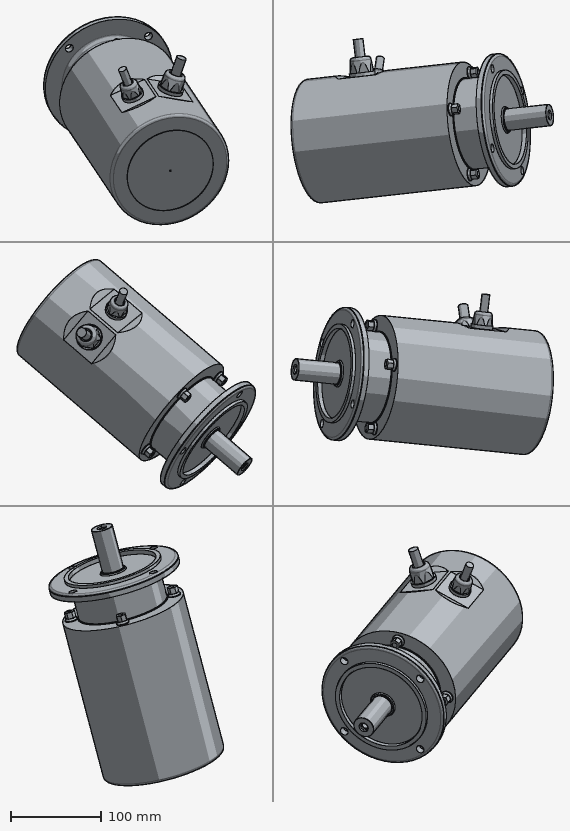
import cadquery as cq
import math


SHAFT_D = 24.0
SHAFT_LENGTH = 50.35
SHAFT_CHAMFER = 0.25
CENTRE_HOLE_D = 6.99
CENTRE_HOLE_DEPTH = 16.0
DRILL_HALF_ANGLE = 60.0
CENTRE_SINK_D = 11.0
CENTRE_SINK_DEPTH = 1.3
CENTRE_BORE_D = 8.4
CENTRE_BORE_DEPTH = 4.0

FLANGE_D = 148.0
FLANGE_FACE_D = 142.0
FLANGE_ROUND = (FLANGE_D - FLANGE_FACE_D) / 2
FLANGE_ROUND_LENGTH = 2.0
FLANGE_STEP = 2.8
FLANGE_THICKNESS = 8.65
PILOT_D = 110.0
PILOT_HEIGHT = 3.5
RECESS_D = 100.0
RECESS_DEPTH = 5.0
SEAL_BASE_D = 30.0
SEAL_TOP_D = 28.0
SEAL_HEIGHT = 1.5
SEAL_LIP_D = 24.8
SEAL_LIP_HEIGHT = 0.8
FLANGE_HOLE_COUNT = 4
FLANGE_HOLE_D = 9.0
FLANGE_HOLE_CIRCLE_D = 130.0
NECK_D = 101.0
NECK_FILLET = 4.0
COLLAR_D = 103.0
COLLAR_HEIGHT = 1.0

HOUSING_D = 138.0
HOUSING_FRONT = 45.15
HOUSING_ROUND = 3.0
REAR_PLATE_D = 100.0
REAR_PLATE_THICKNESS = 0.8
REAR_TIP_D = 1.5
REAR_TIP_HEIGHT = 0.7
MOTOR_REAR = 232.65
HOUSING_REAR = MOTOR_REAR - REAR_TIP_HEIGHT - REAR_PLATE_THICKNESS

SCREW_COUNT = 4
SCREW_CIRCLE_D = 117.5
SCREW_ACROSS_FLATS = 10.0
SCREW_WASHER_D = 14.2
SCREW_WASHER_HEIGHT = 0.8
SCREW_CONE_D = 11.2
SCREW_CONE_HEIGHT = 2.4
SCREW_TOP_D = 6.0
SCREW_TOP_CHAMFER = 0.9
SCREW_HEIGHT = 10.8

GLAND_X = 163.65
GLAND_TILT = 19.0
LARGE_GLAND_TILT = -GLAND_TILT
SMALL_GLAND_TILT = GLAND_TILT
PAD_RADIUS = 65.75
PAD_LENGTH = 42.0
PAD_OUTER_LENGTH = 59.2
GLAND_BASE_HEIGHT = 4.0
GLAND_BASE_LIP = 0.35
GLAND_TAPER = 6.5
GLAND_FLAT_INSET = 0.3
GLAND_MOUTH_DEPTH = 3.0

LARGE_GLAND = dict(cable_d=11.0, mouth_d=14.2, rim_d=16.0, dome_d=23.5, height=21.3, cable_end=41.13)
SMALL_GLAND = dict(cable_d=9.0, mouth_d=11.5, rim_d=13.0, dome_d=20.0, height=18.6, cable_end=38.0)


def x_plane(x):
    """Plane across the motor axis at x, facing +X."""
    return cq.Workplane("YZ", origin=(x, 0, 0))


def disc(x_start, x_end, diameter):
    return x_plane(x_start).circle(diameter / 2).extrude(x_end - x_start)


def turned(points):
    """Solid of revolution about the local X axis from (x, radius) corners."""
    return cq.Workplane("XY").polyline(points).close().revolve(360, (0, 0, 0), (1, 0, 0))


def hexagon_diameter(across_flats):
    """Corner-to-corner diameter of a hexagon."""
    return 2 * across_flats / math.sqrt(3)


def make_shaft():
    shaft = disc(-SHAFT_LENGTH, FLANGE_THICKNESS, SHAFT_D).faces("<X").chamfer(SHAFT_CHAMFER)
    hole_r = CENTRE_HOLE_D / 2
    cone_depth = hole_r / math.tan(math.radians(DRILL_HALF_ANGLE))
    centre_hole = turned([
        (0, 0),
        (0, CENTRE_SINK_D / 2),
        (CENTRE_SINK_DEPTH, CENTRE_BORE_D / 2),
        (CENTRE_BORE_DEPTH, CENTRE_BORE_D / 2),
        (CENTRE_BORE_DEPTH, hole_r),
        (CENTRE_HOLE_DEPTH, hole_r),
        (CENTRE_HOLE_DEPTH + cone_depth, 0),
    ])
    return shaft.cut(centre_hole.translate((-SHAFT_LENGTH, 0, 0)))


def make_flange_end():
    """Flange whose rounded front edge runs into a narrow land and a small step up to the rim."""
    face_r = FLANGE_FACE_D / 2
    round_depth = FLANGE_ROUND - FLANGE_ROUND_LENGTH
    land_r = face_r + math.sqrt(FLANGE_ROUND**2 - round_depth**2)
    flange = (
        cq.Workplane("XY")
        .lineTo(0, face_r)
        .radiusArc((FLANGE_ROUND_LENGTH, land_r), FLANGE_ROUND)
        .lineTo(FLANGE_STEP, land_r)
        .lineTo(FLANGE_STEP, FLANGE_D / 2)
        .lineTo(FLANGE_THICKNESS, FLANGE_D / 2)
        .lineTo(FLANGE_THICKNESS, 0)
        .close()
        .revolve(360, (0, 0, 0), (1, 0, 0))
    )
    pilot = disc(-PILOT_HEIGHT, 0, PILOT_D)
    recess_floor = RECESS_DEPTH - PILOT_HEIGHT
    seal_top = recess_floor - SEAL_HEIGHT
    lip_top = seal_top - SEAL_LIP_HEIGHT
    recess = disc(-PILOT_HEIGHT, recess_floor, RECESS_D)
    seal = turned([
        (recess_floor, 0),
        (recess_floor, SEAL_BASE_D / 2),
        (seal_top, SEAL_TOP_D / 2),
        (seal_top, SEAL_LIP_D / 2),
        (lip_top, SEAL_LIP_D / 2),
        (lip_top, 0),
    ])
    holes = (
        x_plane(0)
        .polarArray(FLANGE_HOLE_CIRCLE_D / 2, 45, 360, FLANGE_HOLE_COUNT)
        .circle(FLANGE_HOLE_D / 2)
        .extrude(FLANGE_THICKNESS)
    )
    return flange.union(pilot).cut(recess).union(seal).cut(holes)


def make_neck():
    neck_r = NECK_D / 2
    profile = (
        cq.Workplane("XY")
        .moveTo(FLANGE_THICKNESS, 0)
        .lineTo(FLANGE_THICKNESS, neck_r + NECK_FILLET)
        .radiusArc((FLANGE_THICKNESS + NECK_FILLET, neck_r), -NECK_FILLET)
        .lineTo(HOUSING_FRONT, neck_r)
        .lineTo(HOUSING_FRONT, 0)
        .close()
    )
    neck = profile.revolve(360, (0, 0, 0), (1, 0, 0))
    return neck.union(disc(HOUSING_FRONT - COLLAR_HEIGHT, HOUSING_FRONT, COLLAR_D))


def make_housing():
    plate_rear = HOUSING_REAR + REAR_PLATE_THICKNESS
    housing = disc(HOUSING_FRONT, HOUSING_REAR, HOUSING_D).faces(">X").edges().fillet(HOUSING_ROUND)
    housing = housing.union(disc(HOUSING_REAR, plate_rear, REAR_PLATE_D))
    return housing.union(disc(plate_rear, MOTOR_REAR, REAR_TIP_D))


def make_screw():
    """Flange-head hexagon screw along -X, standing on x = 0 with a corner towards +Z."""
    cone_end = SCREW_WASHER_HEIGHT + SCREW_CONE_HEIGHT
    corner_d = hexagon_diameter(SCREW_ACROSS_FLATS)
    hexagon = cq.Workplane("YZ").polygon(6, corner_d).extrude(-SCREW_HEIGHT)
    hexagon = hexagon.rotate((0, 0, 0), (1, 0, 0), 90)
    chamfered = turned([
        (0, 0),
        (0, corner_d / 2),
        (SCREW_TOP_CHAMFER - SCREW_HEIGHT, corner_d / 2),
        (-SCREW_HEIGHT, SCREW_TOP_D / 2),
        (-SCREW_HEIGHT, 0),
    ])
    washer = turned([
        (0, 0),
        (0, SCREW_WASHER_D / 2),
        (-SCREW_WASHER_HEIGHT, SCREW_WASHER_D / 2),
        (-cone_end, SCREW_CONE_D / 2),
        (-cone_end, 0),
    ])
    return hexagon.intersect(chamfered).union(washer)


def place_on_pad(shape, tilt):
    """Move a shape built along Z about the origin to the pad axis tilted by tilt about X."""
    return shape.rotate((0, 0, 0), (1, 0, 0), tilt).translate((GLAND_X, 0, 0))


def make_pad_cutter():
    """Everything above the flat pad floor, between its two sloped ends."""
    rise = HOUSING_D / 2 - PAD_RADIUS
    slope_run = (PAD_OUTER_LENGTH - PAD_LENGTH) / 2
    cutter_height = 2 * rise
    top_half = PAD_LENGTH / 2 + slope_run * cutter_height / rise
    return (
        cq.Workplane("XZ", origin=(0, HOUSING_D / 2, 0))
        .moveTo(-PAD_LENGTH / 2, PAD_RADIUS)
        .lineTo(PAD_LENGTH / 2, PAD_RADIUS)
        .lineTo(top_half, PAD_RADIUS + cutter_height)
        .lineTo(-top_half, PAD_RADIUS + cutter_height)
        .close()
        .extrude(HOUSING_D)
    )


def make_motor():
    motor = make_housing().union(make_neck()).union(make_flange_end()).union(make_shaft())
    screw = make_screw().translate((HOUSING_FRONT, 0, SCREW_CIRCLE_D / 2))
    for index in range(SCREW_COUNT):
        motor = motor.union(screw.rotate((0, 0, 0), (1, 0, 0), index * 360 / SCREW_COUNT))
    for tilt in (LARGE_GLAND_TILT, SMALL_GLAND_TILT):
        motor = motor.cut(place_on_pad(make_pad_cutter(), tilt))
    return motor


def make_gland(cable_d, mouth_d, rim_d, dome_d, height, cable_end, tilt):
    """Cable gland with its cable: round base, tapered hexagon, domed top with a mouth."""
    dome_r = dome_d / 2
    dome_round = (dome_d - rim_d) / 2
    dome_start = height - dome_round
    taper_r = dome_r + (dome_start - GLAND_BASE_HEIGHT) * math.tan(math.radians(GLAND_TAPER))
    corner_d = hexagon_diameter(dome_d + 2 * GLAND_FLAT_INSET)

    base = cq.Workplane("XY").circle(corner_d / 2 + GLAND_BASE_LIP).extrude(GLAND_BASE_HEIGHT)
    body = (
        cq.Workplane("XZ")
        .lineTo(taper_r, 0)
        .lineTo(taper_r, GLAND_BASE_HEIGHT)
        .lineTo(dome_r, dome_start)
        .radiusArc((rim_d / 2, height), -dome_round)
        .lineTo(0, height)
        .close()
        .revolve(360, (0, 0, 0), (0, 1, 0))
    )
    hexagon = cq.Workplane("XY").polygon(6, corner_d).extrude(height)
    hexagon = hexagon.rotate((0, 0, 0), (0, 0, 1), 90)
    mouth = cq.Workplane("XY", origin=(0, 0, height)).circle(mouth_d / 2).extrude(-GLAND_MOUTH_DEPTH)
    cable = cq.Workplane("XY").circle(cable_d / 2).extrude(cable_end)
    gland = base.union(body.intersect(hexagon)).cut(mouth).union(cable)
    return place_on_pad(gland.translate((0, 0, PAD_RADIUS)), tilt)


motor = make_motor()
large_gland = make_gland(**LARGE_GLAND, tilt=LARGE_GLAND_TILT)
small_gland = make_gland(**SMALL_GLAND, tilt=SMALL_GLAND_TILT)

result = cq.Compound.makeCompound([motor.val(), large_gland.val(), small_gland.val()])